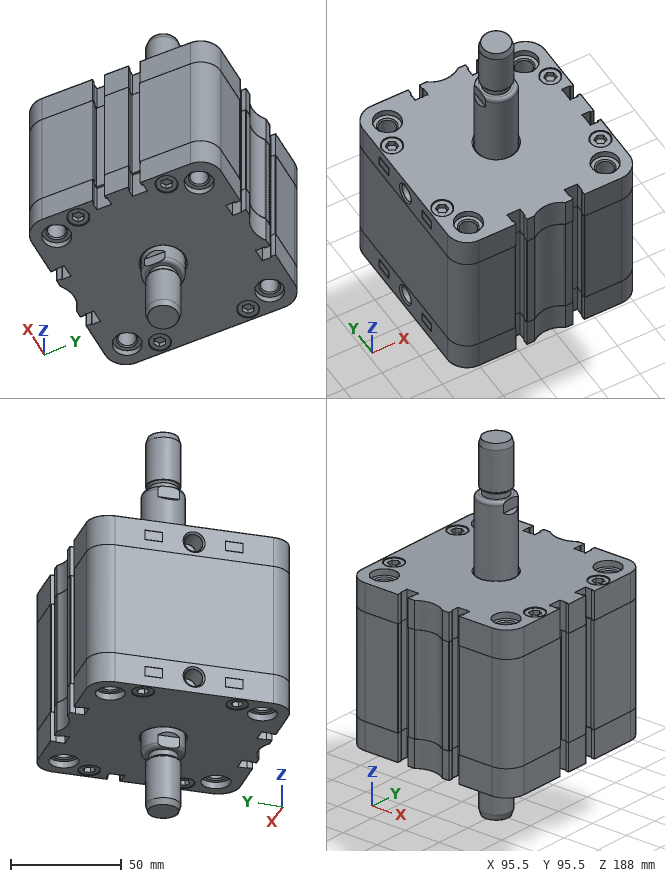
import cadquery as cq

side = 95.5
corner_radius = 10.3
body_height = 83.8
cap_height = 14.7
barrel_height = body_height - 2 * cap_height
body_middle = body_height / 2
bore_diameter = 80.0

slot_offset = 15.0
slot_mouth_width = 5.8
slot_width = 6.8
slot_lip = 2.6
slot_depth = 7.0
barrel_edge_chamfer = 0.4

sensor_lip = 1.7
cap_sensor_offset = 9.0
cap_sensor_mouth_width = 6.0
cap_sensor_width = 7.3
cap_sensor_depth = 5.8
barrel_sensor_offset = 8.8
barrel_sensor_mouth_width = 5.6
barrel_sensor_width = 7.0
barrel_sensor_depth = 4.9

cap_groove_width = 16.4
barrel_groove_width = cap_groove_width - 2 * barrel_edge_chamfer
groove_depth = 2.8

corner_hole_pitch = 71.8
corner_recess_diameter = 13.5
corner_recess_depth = 3.2
corner_hole_diameter = 8.5
corner_chamfer_diameter = 9.8

screw_pitch_x = 83.1
screw_pitch_y = 44.5
screw_seat_diameter = 10.3
screw_head_diameter = 9.8
screw_gap_depth = 1.9
screw_head_drop = 0.4
hex_across_flats = 5.0
hex_depth = 2.8

port_distance = 7.9
port_diameter = 8.6
port_chamfer_diameter = 10.3
port_depth = 11.3
label_distance = 7.5
label_spacing = 38.0
label_width = 8.3
label_height = 4.7
label_depth = 0.2

total_length = 188.0
rod_diameter = 20.0
rod_recess_diameter = 20.7
rod_recess_chamfer_diameter = 21.8
rod_recess_depth = 1.9
upper_reach = 67.0
lower_reach = total_length - body_height - upper_reach
thread_diameter = 16.0
thread_end_diameter = 14.1
thread_end_chamfer = 3.0
thread_length = 24.3
runout_height = 1.1
runout_diameter = 14.7
neck_diameter = 13.5
shoulder_distance = 28.0
shoulder_fillet = 1.9
flat_across = 17.1
flat_end_distance = 33.8


def block(height):
    """Square prism with rounded upright edges."""
    return cq.Workplane().rect(side, side).extrude(height).edges("|Z").fillet(corner_radius)


def t_slot(offset, mouth_width, width, lip, depth, height):
    """Cutter for a T-slot that opens through the -Y side at X = offset."""
    face = -side / 2
    half_mouth = mouth_width / 2
    half_width = width / 2
    return (
        cq.Workplane()
        .polyline([
            (offset - half_mouth, face),
            (offset - half_mouth, face + lip),
            (offset - half_width, face + lip),
            (offset - half_width, face + depth),
            (offset + half_width, face + depth),
            (offset + half_width, face + lip),
            (offset + half_mouth, face + lip),
            (offset + half_mouth, face),
        ])
        .close()
        .extrude(height)
    )


def groove(width, height):
    """Cutter for the shallow round groove in the -Y side."""
    face = -side / 2
    return (
        cq.Workplane()
        .moveTo(-width / 2, face)
        .threePointArc((0, face + groove_depth), (width / 2, face))
        .close()
        .extrude(height)
    )


def grooved_block(height, groove_width, sensor_offset, sensor_mouth_width, sensor_width, sensor_depth):
    """Block with the slots and grooves of its -Y, +Y and +X sides."""
    body = block(height)
    for turn in (0, 180):
        body = body.cut(groove(groove_width, height).rotate((0, 0, 0), (0, 0, 1), turn))
        for offset in (-slot_offset, slot_offset):
            slot = t_slot(offset, slot_mouth_width, slot_width, slot_lip, slot_depth, height)
            body = body.cut(slot.rotate((0, 0, 0), (0, 0, 1), turn))
    for offset in (-sensor_offset, sensor_offset):
        slot = t_slot(offset, sensor_mouth_width, sensor_width, sensor_lip, sensor_depth, height)
        body = body.cut(slot.rotate((0, 0, 0), (0, 0, 1), 90))
    return body


def chamfered_hole(diameter, mouth_diameter, depth):
    """Cutter for a hole that goes down from Z = 0, with a 45 degree chamfer at its mouth."""
    chamfer = (mouth_diameter - diameter) / 2
    return (
        cq.Workplane("XZ")
        .polyline([
            (0, 0),
            (mouth_diameter / 2, 0),
            (diameter / 2, -chamfer),
            (diameter / 2, -depth),
            (0, -depth),
        ])
        .close()
        .revolve(360, (0, 0), (0, 1))
    )


def corner_hole():
    """Cutter for a threaded corner hole and its recess, down through a cap from Z = 0."""
    recess = cq.Workplane().circle(corner_recess_diameter / 2).extrude(-corner_recess_depth)
    thread = chamfered_hole(
        corner_hole_diameter, corner_chamfer_diameter, cap_height - corner_recess_depth
    )
    return recess.union(thread.translate((0, 0, -corner_recess_depth)))


def screw_cut():
    """Cutter that leaves a sunk screw head with a hexagon socket, down from Z = 0."""
    seat = cq.Workplane().circle(screw_seat_diameter / 2).extrude(-screw_gap_depth)
    head = (
        cq.Workplane()
        .workplane(offset=-screw_head_drop)
        .circle(screw_head_diameter / 2)
        .extrude(screw_head_drop - screw_gap_depth)
    )
    socket = cq.Workplane().polygon(6, hex_across_flats, circumscribed=True).extrude(-hex_depth)
    return seat.cut(head).union(socket)


def make_cap():
    """End cap with its outer face at Z = 0 and its inner face below."""
    cap = grooved_block(
        cap_height,
        cap_groove_width,
        cap_sensor_offset,
        cap_sensor_mouth_width,
        cap_sensor_width,
        cap_sensor_depth,
    ).translate((0, 0, -cap_height))

    rod_hole = cq.Workplane().circle(rod_diameter / 2).extrude(-cap_height)
    rod_recess = chamfered_hole(rod_recess_diameter, rod_recess_chamfer_diameter, rod_recess_depth)
    cap = cap.cut(rod_hole).cut(rod_recess)

    for x_sign in (-1, 1):
        for y_sign in (-1, 1):
            hole_place = (x_sign * corner_hole_pitch / 2, y_sign * corner_hole_pitch / 2, 0)
            screw_place = (x_sign * screw_pitch_x / 2, y_sign * screw_pitch_y / 2, 0)
            cap = cap.cut(corner_hole().translate(hole_place))
            cap = cap.cut(screw_cut().translate(screw_place))

    port = chamfered_hole(port_diameter, port_chamfer_diameter, port_depth)
    port = port.rotate((0, 0, 0), (0, 1, 0), -90).translate((-side / 2, 0, -port_distance))
    cap = cap.cut(port)

    for y in (-label_spacing / 2, label_spacing / 2):
        label = cq.Workplane().box(label_depth, label_width, label_height, centered=(False, True, True))
        cap = cap.cut(label.translate((-side / 2, y, -label_distance)))
    return cap


def make_barrel():
    """Barrel between the caps, bored through, with chamfered slot and groove edges."""
    barrel = grooved_block(
        barrel_height,
        barrel_groove_width,
        barrel_sensor_offset,
        barrel_sensor_mouth_width,
        barrel_sensor_width,
        barrel_sensor_depth,
    )
    reach_x = slot_offset + slot_mouth_width
    for face in (-side / 2, side / 2):
        slotted_face = cq.selectors.BoxSelector(
            (-reach_x, face - slot_lip / 2, 0), (reach_x, face + slot_lip / 2, barrel_height)
        )
        barrel = barrel.edges("|Z").edges(slotted_face).chamfer(barrel_edge_chamfer)
    barrel = barrel.cut(cq.Workplane().circle(bore_diameter / 2).extrude(barrel_height))
    return barrel.translate((0, 0, cap_height))


def make_rod(reach):
    """Rod from the middle of the body, at Z = 0, to a threaded tip beyond a cap by `reach`."""
    tip = body_middle + reach
    thread_start = tip - thread_length
    shoulder = tip - shoulder_distance
    rod = cq.Workplane().circle(rod_diameter / 2).extrude(shoulder)
    rod = rod.faces(">Z").edges().fillet(shoulder_fillet)

    flat_end = tip - flat_end_distance
    flat_depth = (rod_diameter - flat_across) / 2
    flat_cut = (
        cq.Workplane("XZ")
        .polyline([
            (flat_across / 2, shoulder),
            (flat_across / 2, flat_end),
            (rod_diameter / 2, flat_end - flat_depth),
            (rod_diameter / 2, shoulder),
        ])
        .close()
        .extrude(rod_diameter / 2, both=True)
    )
    rod = rod.cut(flat_cut).cut(flat_cut.mirror("YZ"))

    threaded_end = (
        cq.Workplane("XZ")
        .polyline([
            (0, shoulder),
            (neck_diameter / 2, shoulder),
            (neck_diameter / 2, thread_start - runout_height),
            (runout_diameter / 2, thread_start),
            (thread_diameter / 2, thread_start),
            (thread_diameter / 2, tip - thread_end_chamfer),
            (thread_end_diameter / 2, tip),
            (0, tip),
        ])
        .close()
        .revolve(360, (0, 0), (0, 1))
    )
    return rod.union(threaded_end)


upper_cap = make_cap().translate((0, 0, body_height))
lower_cap = make_cap().mirror("XY")
barrel = make_barrel()
upper_rod = make_rod(upper_reach).translate((0, 0, body_middle))
lower_rod = make_rod(lower_reach).mirror("XY").translate((0, 0, body_middle))

result = cq.Compound.makeCompound([
    upper_cap.val(),
    lower_cap.val(),
    barrel.val(),
    upper_rod.val(),
    lower_rod.val(),
])